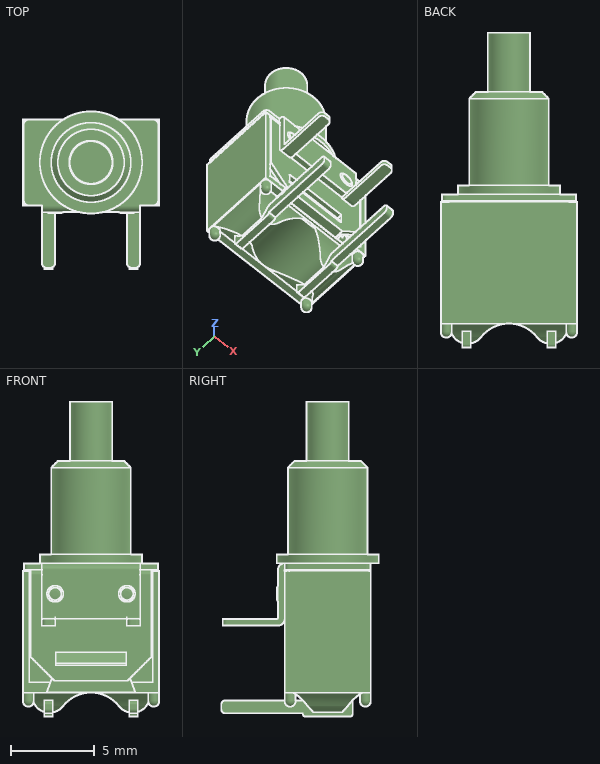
import cadquery as cq
import math


overall_depth = 9.4

case_width = 8.12
case_depth = 5.14
case_height = 7.26
case_front = -case_depth / 2
wall_thickness = 0.38
lip_height = 0.62
lip_depth = 0.28

block_width = 7.2
block_bottom = 0.71
block_corner = 1.43
block_round = 0.28

notch_bottom_width = 5.29
notch_top_width = 4.73
notch_height = 0.77
notch_depth = 0.65
floor_skin = 0.02

window_width = 4.2
window_bottom = 1.63
window_slope_start = 1.76
window_top = 2.42
window_edge_depth = 0.04
window_depth = 0.34

sheet = 0.4
bend_radius = 0.38
plate_width = 8.0
plate_depth = 5.1
plate_bottom = 7.32
plate_top = plate_bottom + sheet
plate_corner_radius = 0.26
bracket_width = 5.85
bracket_front = case_front - sheet

leg_width = 0.79
leg_top = 4.39
leg_bottom = leg_top - sheet
leg_end = -6.27
leg_offset = (bracket_width - leg_width) / 2
leg_root_radius = 0.1
tip_radius = 0.26

rivet_offset = 2.14
rivet_height = 5.9
rivet_base_radius = 0.49
rivet_shoulder_radius = 0.38
rivet_top_radius = 0.17
rivet_shoulder = 0.05
rivet_rise = 0.08

flange_diameter = 6.1
flange_thickness = 0.53
bushing_diameter = 4.75
bushing_top = 13.8
bushing_chamfer = 0.4
bore_diameter = 2.6

plunger_diameter = 2.53
plunger_top = 17.33

post_diameter = 0.65
post_length = 0.5

resin_arch_radius = 2.12
resin_end_radius = 2.81
resin_neck = 0.79
resin_depth = 1.2
resin_center = 2.48
resin_outer = 4.01
resin_base_half_depth = 2.06
resin_neck_half_depth = 1.2
resin_bottom_half_depth = 0.83

terminal_width = 0.53
terminal_top = -0.45
terminal_bottom = -1.24
terminal_end = flange_diameter / 2 - overall_depth
pad_bottom = -1.43
pad_half_depth = 1.5
pad_radius = terminal_bottom - pad_bottom

SIDES = (-1, 1)


def box(x_size, y_range, z_range):
    """Box centred on X, between the given Y and Z limits."""
    return cq.Workplane("XY").box(
        x_size, y_range[1] - y_range[0], z_range[1] - z_range[0], centered=(True, False, False)
    ).translate((0, y_range[0], z_range[0]))


def make_notch(bottom, depth):
    """Trapezoidal cutter reaching back from the case front, above the given height."""
    bottom_half = notch_bottom_width / 2
    top_half = notch_top_width / 2
    outline = [(-bottom_half, 0), (bottom_half, 0), (top_half, notch_height), (-top_half, notch_height)]
    prism = cq.Workplane("XZ", origin=(0, case_front, 0)).polyline(outline).close().extrude(-depth)
    return prism.intersect(box(case_width, (case_front, -case_front), (bottom, case_height)))


def make_case():
    """Outer shell with the recessed front and the notched lip."""
    inner_width = case_width - 2 * wall_thickness
    base_front = case_front + lip_depth
    shell = box(case_width, (case_front, -case_front), (0, case_height))
    recess = box(inner_width, (case_front, base_front), (lip_height, case_height))

    return shell.cut(recess).cut(make_notch(0, lip_depth)).cut(make_notch(floor_skin, notch_depth))


def make_block():
    """Moulded block with chamfered lower corners."""
    block = box(block_width, (case_front, -case_front), (block_bottom, plate_bottom))
    block = block.edges("|Y and <Z").chamfer(block_corner)
    return block.edges("|X and >Z").fillet(block_round)


def make_window():
    """Cutter for the latch window, whose floor slopes inward as it rises."""
    return (
        cq.Workplane("YZ", origin=(-window_width / 2, 0, 0))
        .moveTo(case_front, window_bottom)
        .lineTo(case_front + window_edge_depth, window_bottom)
        .lineTo(case_front + window_edge_depth, window_slope_start)
        .lineTo(case_front + window_depth, window_top)
        .lineTo(case_front, window_top)
        .close()
        .extrude(window_width)
    )


def make_plate():
    """Flat cover plate with rounded corners."""
    plate = box(plate_width, (-plate_depth / 2, plate_depth / 2), (plate_bottom, plate_top))
    return plate.edges("|Z").fillet(plate_corner_radius)


def make_bracket():
    """Sheet folded over the front of the case, with a leg at each side."""
    drop = box(bracket_width, (bracket_front, case_front), (leg_top, plate_top))
    drop = drop.edges("|X and >Z and <Y").fillet(bend_radius)
    fold = box(bracket_width, (case_front, 0), (plate_bottom, plate_top))
    bracket = drop.union(fold)
    for side in SIDES:
        leg = box(leg_width, (leg_end, case_front), (leg_bottom, leg_top))
        leg = leg.edges("|Z and <Y").fillet(tip_radius)
        leg = leg.edges("|X and >Y and <Z").fillet(bend_radius)
        root = (
            cq.Workplane("YZ", origin=(-leg_width / 2, 0, 0))
            .moveTo(bracket_front, leg_top)
            .lineTo(bracket_front, leg_top + leg_root_radius)
            .radiusArc((bracket_front - leg_root_radius, leg_top), leg_root_radius)
            .close()
            .extrude(leg_width)
        )
        bracket = bracket.union(leg.union(root).translate((side * leg_offset, 0, 0)))
    return bracket


def make_rivet(side):
    """Low conical rivet head standing on the bracket face."""
    return (
        cq.Workplane("XY")
        .lineTo(rivet_base_radius, 0)
        .lineTo(rivet_shoulder_radius, -rivet_shoulder)
        .lineTo(rivet_top_radius, -rivet_rise)
        .lineTo(0, -rivet_rise)
        .close()
        .revolve(360, (0, 0), (0, 1))
        .translate((side * rivet_offset, bracket_front, rivet_height))
    )


def make_bushing():
    """Flanged sleeve around the plunger, open down to the top plate."""
    seat = cq.Workplane("XY", origin=(0, 0, plate_top))
    sleeve_length = bushing_top - plate_top
    flange = seat.circle(flange_diameter / 2).extrude(flange_thickness)
    sleeve = seat.circle(bushing_diameter / 2).extrude(sleeve_length).faces(">Z").chamfer(bushing_chamfer)
    bore = seat.circle(bore_diameter / 2).extrude(sleeve_length)
    return flange.union(sleeve).cut(bore)


def make_post(x_side, y_side):
    """Standoff at one corner of the case underside, with a hemispherical end."""
    radius = post_diameter / 2
    return (
        cq.Workplane("XY")
        .circle(radius)
        .extrude(-post_length)
        .union(cq.Workplane("XY").sphere(radius).translate((0, 0, -post_length)))
        .intersect(box(post_diameter, (-radius, radius), (-post_length - radius, 0)))
        .translate((x_side * (case_width / 2 - radius), y_side * (case_depth / 2 - radius), 0))
    )


def make_resin(side):
    """Mound with concave flanks and a domed bottom."""
    neck_inner = math.sqrt(resin_arch_radius**2 - (resin_arch_radius - resin_neck) ** 2)
    neck_outer = 2 * resin_center - neck_inner
    across = (
        cq.Workplane("XZ", origin=(0, resin_base_half_depth, 0))
        .moveTo(0, 0)
        .radiusArc((neck_inner, -resin_neck), resin_arch_radius)
        .threePointArc((resin_center, -resin_depth), (neck_outer, -resin_neck))
        .radiusArc((resin_outer, 0), resin_arch_radius)
        .close()
        .extrude(2 * resin_base_half_depth)
    )
    along = (
        cq.Workplane("YZ")
        .moveTo(-resin_base_half_depth, 0)
        .radiusArc((-resin_neck_half_depth, -resin_neck), resin_end_radius)
        .lineTo(-resin_bottom_half_depth, -resin_depth)
        .lineTo(resin_bottom_half_depth, -resin_depth)
        .lineTo(resin_neck_half_depth, -resin_neck)
        .radiusArc((resin_base_half_depth, 0), resin_end_radius)
        .close()
        .extrude(case_width / 2)
    )
    mound = across.intersect(along)
    return mound if side > 0 else mound.mirror("YZ")


def make_terminal(side):
    """Flat terminal with a deeper pad inside the resin."""
    blade = box(terminal_width, (terminal_end, pad_half_depth), (terminal_bottom, terminal_top))
    blade = blade.edges("|X and <Y").fillet(tip_radius)
    pad = box(terminal_width, (-pad_half_depth, pad_half_depth), (pad_bottom, terminal_top))
    pad = pad.edges("|X and <Z").fillet(pad_radius)
    return blade.union(pad).translate((side * leg_offset, 0, 0))


def make_housing():
    """Everything fixed to the case, as one solid."""
    housing = make_case().union(make_block()).cut(make_window())
    for feature in (make_plate(), make_bracket(), make_bushing()):
        housing = housing.union(feature)
    for side in SIDES:
        housing = housing.union(make_rivet(side)).union(make_resin(side)).union(make_terminal(side))
        for y_side in SIDES:
            housing = housing.union(make_post(side, y_side))
    return housing


def make_plunger():
    """Round push rod standing in the bushing bore."""
    rod = cq.Workplane("XY", origin=(0, 0, plate_top)).circle(plunger_diameter / 2)
    return rod.extrude(plunger_top - plate_top)


housing = make_housing()
plunger = make_plunger()
result = cq.Compound.makeCompound([housing.solids().val(), plunger.val()])